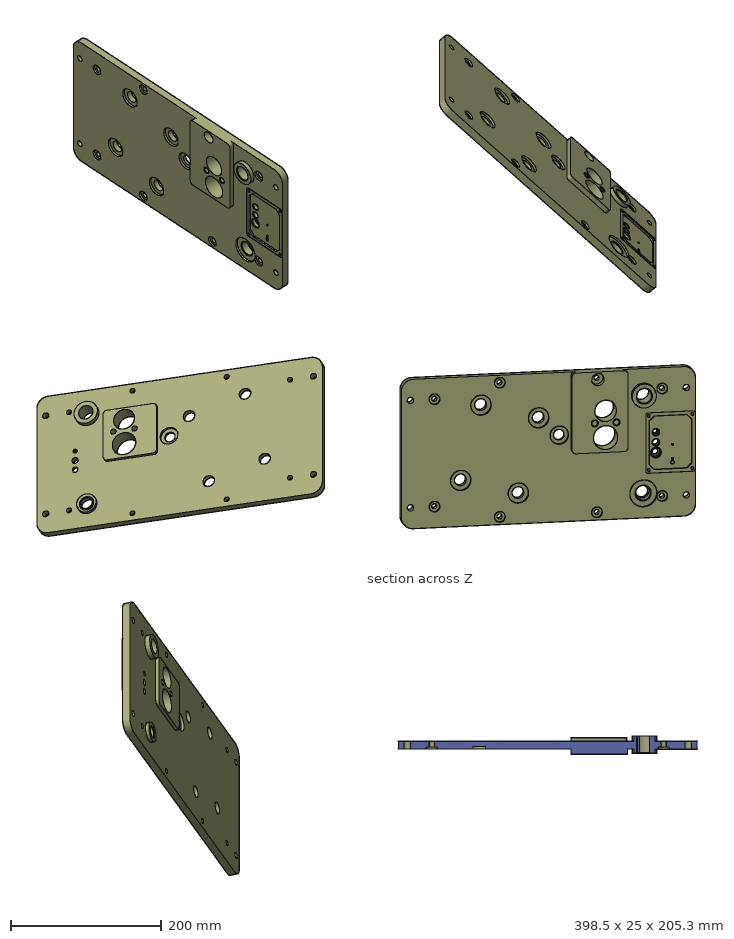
import cadquery as cq

plate_length = 398.5
plate_height = 205.3
plate_corner_radius = 16.0
plate_thickness = 10.8

front_reach = -12.5
back_reach = 12.5
pad_left = 30.5
pad_corner_radius = 5.0
front_pad_width = 75.7
front_pad_bottom = -8.5
back_pad_size = 74.5
back_pad_top = 65.8
back_pad_reach = 10.0
boss_x = 128.7
upper_boss_z = 66.0
lower_boss_z = -69.0
upper_boss_diameter = 32.5
upper_boss_front = -11.0
lower_boss_diameter = 27.0

bore_mouth_diameter = 22.0
bore_diameter = 20.0
lower_bore_step_diameter = 16.5
lower_bore_step_depth = 11.0
lower_recess_diameter = 36.5
lower_recess_depth = 2.8

edge_hole_x = 187.0
inner_hole_x = 154.2
side_hole_z = 73.7
edge_hole_diameter = 8.5
middle_hole_x = 65.8
middle_hole_z = 92.0
screw_diameter = 6.8
screw_head_diameter = 14.5
screw_head_depth = 2.8
pad_screw_head_diameter = 16.7

large_hole_diameter = 16.0
large_head_diameter = 27.5
large_head_depth = 3.0
large_hole_places = [(-91.3, 62.5), (-13.0, 41.5), (-118.8, -39.5), (-40.5, -60.5)]
fifth_hole_place = (14.7, 16.5)
fifth_hole_diameter = 14.5
fifth_head_diameter = 24.7
fifth_back_depth = 4.0

pad_hole_x = 76.0
upper_pad_hole_z = 48.5
upper_pad_hole_diameter = 29.0
lower_pad_hole_z = 12.0
lower_pad_hole_diameter = 32.5
pin_hole_offset = 14.7
pin_hole_z = 32.3
pin_hole_diameter = 7.5
pin_mouth_diameter = 9.5

frame_left = 132.0
frame_right = 199.0
frame_height = 83.0
frame_rise = 0.6
frame_corner_radius = 2.8
pocket_width = 57.8
pocket_height = 73.5
pocket_corner = 6.8
pocket_depth = 2.5
frame_screw_spacing_x = 59.0
frame_screw_spacing_z = 74.0
frame_screw_diameter = 3.5
blind_depth = 2.0

port_x = 146.0
port_pitch = 14.0
port_mouth_diameter = 10.5
port_seat_diameter = 8.5
upper_port_diameter = 5.5
lower_port_mouth_diameter = 14.7
lower_port_seat_diameter = 12.5
lower_port_diameter = 7.5
port_seat_depth = 6.0
dimple_x = 168.5
dimple_z = -4.0
dimple_diameter = 2.5
key_round_z = -28.5
key_round_diameter = 4.8
key_slot_width = 2.0
key_slot_top = -22.5

plate_back = plate_thickness / 2
plate_front = -plate_back
frame_front = plate_front - frame_rise
pocket_floor = frame_front + pocket_depth
frame_x = (frame_left + frame_right) / 2


def block(x, z, width, height, front, back):
    """Rectangular block centred at (x, z), spanning front to back along Y."""
    return cq.Workplane("XY").box(width, back - front, height).translate((x, (front + back) / 2, z))


def rod(x, z, diameter, front, back):
    """Round rod centred at (x, z), spanning front to back along Y."""
    axis = cq.Vector(0, 1, 0)
    return cq.Workplane(obj=cq.Solid.makeCylinder(diameter / 2, back - front, cq.Vector(x, front, z), axis))


def drill(body, x, z, diameter):
    """Hole right through the part."""
    return body.cut(rod(x, z, diameter, front_reach, back_reach))


def counterbored(body, x, z, diameter, head_diameter, head_floor):
    """Through hole with a flat-bottomed head seat open to the front."""
    return drill(body, x, z, diameter).cut(rod(x, z, head_diameter, front_reach, head_floor))


def countersink(body, x, z, mouth_diameter, diameter, face):
    """45 degree conical mouth, widest at the given front face."""
    depth = (mouth_diameter - diameter) / 2
    base = cq.Vector(x, face, z)
    cone = cq.Solid.makeCone(mouth_diameter / 2, diameter / 2, depth, base, cq.Vector(0, 1, 0))
    return body.cut(cq.Workplane(obj=cone))


body = block(0, 0, plate_length, plate_height, plate_front, plate_back)
body = body.edges("|Y").fillet(plate_corner_radius)

front_pad_height = plate_height / 2 - front_pad_bottom
front_pad = block(
    pad_left + front_pad_width / 2,
    front_pad_bottom + front_pad_height / 2,
    front_pad_width,
    front_pad_height,
    front_reach,
    plate_front,
)
body = body.union(front_pad.edges("|Y").fillet(pad_corner_radius))
back_pad = block(
    pad_left + back_pad_size / 2,
    back_pad_top - back_pad_size / 2,
    back_pad_size,
    back_pad_size,
    plate_back,
    back_pad_reach,
)
body = body.union(back_pad.edges("|Y").fillet(pad_corner_radius))

frame = block(frame_x, 0, frame_right - frame_left, frame_height, frame_front, plate_front)
body = body.union(frame.edges("|Y").fillet(frame_corner_radius))

body = body.union(rod(boss_x, upper_boss_z, upper_boss_diameter, upper_boss_front, back_reach))
body = body.union(rod(boss_x, lower_boss_z, lower_boss_diameter, plate_back, back_pad_reach))

body = drill(body, boss_x, upper_boss_z, bore_diameter)
body = countersink(body, boss_x, upper_boss_z, bore_mouth_diameter, bore_diameter, upper_boss_front)
lower_recess_floor = plate_front + lower_recess_depth
lower_step_floor = lower_recess_floor + lower_bore_step_depth
body = counterbored(
    body, boss_x, lower_boss_z, lower_bore_step_diameter, lower_recess_diameter, lower_recess_floor
)
body = body.cut(rod(boss_x, lower_boss_z, bore_diameter, lower_recess_floor, lower_step_floor))
body = countersink(body, boss_x, lower_boss_z, bore_mouth_diameter, bore_diameter, lower_recess_floor)

screw_head_floor = plate_front + screw_head_depth
for side in (-1, 1):
    for level in (-1, 1):
        z = level * side_hole_z
        body = drill(body, side * edge_hole_x, z, edge_hole_diameter)
        x = side * inner_hole_x
        body = counterbored(body, x, z, screw_diameter, screw_head_diameter, screw_head_floor)

        x = side * middle_hole_x
        z = level * middle_hole_z
        on_pad = side > 0 and level > 0
        head_diameter = pad_screw_head_diameter if on_pad else screw_head_diameter
        body = counterbored(body, x, z, screw_diameter, head_diameter, screw_head_floor)

large_head_floor = plate_front + large_head_depth
for x, z in large_hole_places:
    body = counterbored(body, x, z, large_hole_diameter, large_head_diameter, large_head_floor)

body = counterbored(body, *fifth_hole_place, fifth_hole_diameter, fifth_head_diameter, large_head_floor)
body = body.cut(rod(*fifth_hole_place, fifth_head_diameter, plate_back - fifth_back_depth, plate_back))

body = drill(body, pad_hole_x, upper_pad_hole_z, upper_pad_hole_diameter)
body = drill(body, pad_hole_x, lower_pad_hole_z, lower_pad_hole_diameter)
for side in (-1, 1):
    pin_x = pad_hole_x + side * pin_hole_offset
    body = drill(body, pin_x, pin_hole_z, pin_hole_diameter)
    body = countersink(body, pin_x, pin_hole_z, pin_mouth_diameter, pin_hole_diameter, front_reach)

pocket = block(frame_x, 0, pocket_width, pocket_height, frame_front, pocket_floor)
body = body.cut(pocket.edges("|Y").chamfer(pocket_corner))
for side in (-1, 1):
    for level in (-1, 1):
        screw_x = frame_x + side * frame_screw_spacing_x / 2
        screw_z = level * frame_screw_spacing_z / 2
        frame_screw_floor = frame_front + blind_depth
        body = body.cut(rod(screw_x, screw_z, frame_screw_diameter, frame_front, frame_screw_floor))

port_seat_floor = pocket_floor + port_seat_depth
body = counterbored(body, port_x, port_pitch, upper_port_diameter, port_seat_diameter, port_seat_floor)
body = countersink(body, port_x, port_pitch, port_mouth_diameter, port_seat_diameter, pocket_floor)
body = drill(body, port_x, 0, port_seat_diameter)
body = countersink(body, port_x, 0, port_mouth_diameter, port_seat_diameter, pocket_floor)
body = counterbored(
    body, port_x, -port_pitch, lower_port_diameter, lower_port_seat_diameter, port_seat_floor
)
body = countersink(
    body, port_x, -port_pitch, lower_port_mouth_diameter, lower_port_seat_diameter, pocket_floor
)

blind_floor = pocket_floor + blind_depth
body = body.cut(rod(dimple_x, dimple_z, dimple_diameter, pocket_floor, blind_floor))
body = body.cut(rod(dimple_x, key_round_z, key_round_diameter, pocket_floor, blind_floor))
key_slot_height = key_slot_top - key_round_z
body = body.cut(
    block(
        dimple_x,
        key_round_z + key_slot_height / 2,
        key_slot_width,
        key_slot_height,
        pocket_floor,
        blind_floor,
    )
)

result = body